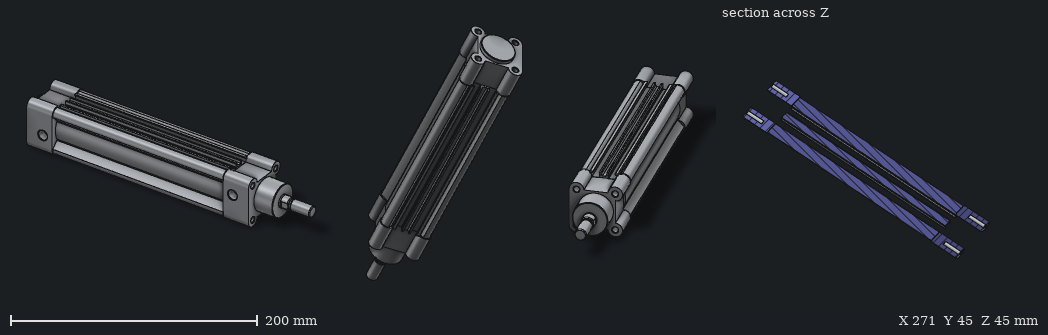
import cadquery as cq
import math


overall_length = 271.0
spigot_length = 3.5
cap_length = 25.5
tube_length = 168.5
nose_length = 18.2
rear_cap_start = spigot_length
tube_start = rear_cap_start + cap_length
front_cap_start = tube_start + tube_length
nose_start = front_cap_start + cap_length
rod_start = nose_start + nose_length

half_width = 22.5
bolt_offset = 16.3
corner_radius = half_width - bolt_offset
waist = 16.5
collar_radius = 15.0
collar_chamfer = 0.5

bolt_hole_radius = 2.5
bolt_hole_depth = 16.3
bolt_mouth_radius = 3.0
port_radius = 4.3
port_depth = 8.0
port_mouth_radius = 5.0
port_from_tube = 9.5
port_side_offset = 5.0

tube_half_width = 21.7
barrel_radius = 36.0 / 2
lobe_radius = tube_half_width - bolt_offset
land_edge = 15.2
side_floor = 16.0
notch_edge = 12.7
lip_outer = 11.7
lip_inner = 9.2
slot_top = 43.0 / 2
lip_thickness = 0.8
slot_wall = 10.3
slot_floor = 16.3
rib_outer = 3.8
rib_neck = 3.3
rib_neck_top = 18.2
rib_neck_bottom = 17.3
rib_inner = 2.5
rib_groove_floor = 18.2
rib_groove_half_floor = 1.4

shoulder_radius = 6.0
shoulder_length = 1.4
rod_radius = 11.7 / 2
shank_length = 8.7
rod_shank_end = rod_start + shank_length
rod_chamfer = 0.8
neck_radius = 4.3
neck_length = 2.0
thread_radius = 5.1
thread_chamfer = 0.8
flat_half_width = 5.1
flat_start = rod_start + 2.2


def x_cylinder(radius, start, length):
    """Solid cylinder on the cylinder axis."""
    return cq.Workplane("YZ").workplane(offset=start).circle(radius).extrude(length)


def tapped_hole(radius, mouth_radius, depth):
    """Cutter along +Z from the origin: a blind hole with a 45 degree mouth."""
    mouth_depth = mouth_radius - radius
    outline = [
        (0, 0),
        (mouth_radius, 0),
        (radius, mouth_depth),
        (radius, depth),
        (0, depth),
    ]
    return cq.Workplane("XZ").polyline(outline).close().revolve(360, (0, 0), (0, 1))


def cap_block(start):
    """Cap with four round corners, three waisted sides and a flat -Y side."""
    plane = cq.Workplane("YZ").workplane(offset=start)
    block = plane.rect(2 * waist, 2 * waist).extrude(cap_length)
    flat_depth = half_width - bolt_offset
    flat_side = plane.center(-bolt_offset - flat_depth / 2, 0).rect(flat_depth, 2 * bolt_offset)
    corners = plane.rect(2 * bolt_offset, 2 * bolt_offset, forConstruction=True).vertices()
    return block.union(flat_side.extrude(cap_length)).union(
        corners.circle(corner_radius).extrude(cap_length)
    )


def cut_bolt_holes(cap, outer_face, turn):
    """Four bolt holes from the outer face; turn about Y points the cutter into the cap."""
    hole = tapped_hole(bolt_hole_radius, bolt_mouth_radius, bolt_hole_depth)
    hole = hole.rotate((0, 0, 0), (0, 1, 0), turn)
    for y in (-bolt_offset, bolt_offset):
        for z in (-bolt_offset, bolt_offset):
            cap = cap.cut(hole.translate((outer_face, y, z)))
    return cap


def cut_port(cap, x, z):
    """Air port in the flat -Y side."""
    port = tapped_hole(port_radius, port_mouth_radius, port_depth)
    port = port.rotate((0, 0, 0), (1, 0, 0), -90)
    return cap.cut(port.translate((x, -half_width, z)))


def make_rear_cap():
    spigot = x_cylinder(collar_radius, 0, spigot_length).faces("<X").chamfer(collar_chamfer)
    cap = cap_block(rear_cap_start).union(spigot)
    cap = cut_bolt_holes(cap, rear_cap_start, 90)
    return cut_port(cap, tube_start - port_from_tube, -port_side_offset)


def make_front_cap():
    nose = x_cylinder(collar_radius, nose_start, nose_length).faces(">X").chamfer(collar_chamfer)
    cap = cap_block(front_cap_start).union(nose)
    cap = cut_bolt_holes(cap, nose_start, -90)
    return cut_port(cap, front_cap_start + port_from_tube, port_side_offset)


def make_tube_quarter():
    """Quarter of the tube on the +Y, +Z side, from the axis outwards."""
    barrel_edge = math.sqrt(barrel_radius**2 - side_floor**2)
    barrel_middle = math.asin(barrel_edge / barrel_radius) / 2
    lobe_middle = bolt_offset + lobe_radius * math.sqrt(0.5)
    flank_foot = land_edge - (tube_half_width - side_floor)
    notch_floor = tube_half_width - (land_edge - notch_edge)
    lip_bottom = slot_top - lip_thickness
    undercut_top = lip_bottom - (slot_wall - lip_inner)
    return (
        cq.Workplane("YZ")
        .workplane(offset=tube_start)
        .lineTo(barrel_radius, 0)
        .threePointArc(
            (barrel_radius * math.cos(barrel_middle), barrel_radius * math.sin(barrel_middle)),
            (side_floor, barrel_edge),
        )
        .lineTo(side_floor, flank_foot)
        .lineTo(tube_half_width, land_edge)
        .lineTo(tube_half_width, bolt_offset)
        .threePointArc((lobe_middle, lobe_middle), (bolt_offset, tube_half_width))
        .lineTo(land_edge, tube_half_width)
        .lineTo(notch_edge, notch_floor)
        .lineTo(lip_outer, notch_floor)
        .lineTo(lip_outer, slot_top)
        .lineTo(lip_inner, slot_top)
        .lineTo(lip_inner, lip_bottom)
        .lineTo(slot_wall, undercut_top)
        .lineTo(slot_wall, slot_floor)
        .lineTo(rib_outer, slot_floor)
        .lineTo(rib_outer, rib_neck_bottom)
        .lineTo(rib_neck, rib_neck_top)
        .lineTo(rib_outer, rib_neck_top)
        .lineTo(rib_outer, slot_top)
        .lineTo(rib_inner, slot_top)
        .lineTo(rib_inner, rib_groove_floor + rib_inner - rib_groove_half_floor)
        .lineTo(rib_groove_half_floor, rib_groove_floor)
        .lineTo(0, rib_groove_floor)
        .close()
        .extrude(tube_length)
    )


def make_tube():
    quarter = make_tube_quarter()
    half = quarter.union(quarter.mirror("XZ"))
    return half.union(half.mirror("XY")).clean()


def make_rod():
    """Rod with a base shoulder, a chamfered shank, two wrench flats, a neck and a threaded end."""
    shoulder_end = rod_start + shoulder_length
    neck_end = rod_shank_end + neck_length
    outline = [
        (rod_start, 0),
        (rod_start, shoulder_radius),
        (shoulder_end, shoulder_radius),
        (shoulder_end, rod_radius),
        (rod_shank_end - rod_chamfer, rod_radius),
        (rod_shank_end, rod_radius - rod_chamfer),
        (rod_shank_end, neck_radius),
        (neck_end, neck_radius),
        (neck_end, thread_radius),
        (overall_length - thread_chamfer, thread_radius),
        (overall_length, thread_radius - thread_chamfer),
        (overall_length, 0),
    ]
    rod = cq.Workplane("XY").polyline(outline).close().revolve(360, (0, 0), (1, 0))
    runout = rod_radius - flat_half_width
    flat_outline = [
        (flat_start - runout, rod_radius),
        (flat_start, flat_half_width),
        (rod_shank_end, flat_half_width),
        (rod_shank_end, rod_radius),
    ]
    flat = cq.Workplane("XY").polyline(flat_outline).close().extrude(rod_radius, both=True)
    rod = rod.cut(flat).cut(flat.mirror("XZ"))
    return rod


rear_cap = make_rear_cap()
tube = make_tube()
front_cap = make_front_cap()
rod = make_rod()

result = cq.Compound.makeCompound([rear_cap.val(), tube.val(), front_cap.val(), rod.val()])